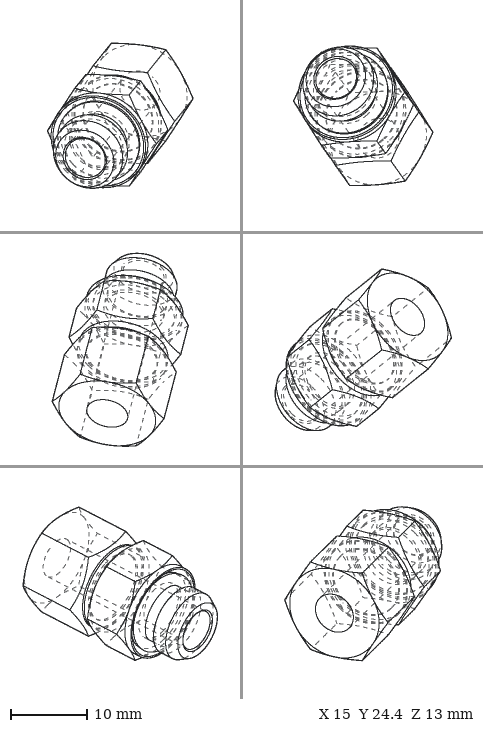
import cadquery as cq
import math

length = 24.4
tip_chamfer_end = 1.45
stud_shoulder = 3.56
neck_start = 4.05
collar_face = 6.0
body_hex_start = 7.03
body_hex_end = 13.52
flange_end = 14.52
nut_start = 14.8

across_corners = 15.0
corner_radius = across_corners / 2
flat_radius = corner_radius * math.cos(math.radians(30))
hex_chamfer_slope = math.tan(math.radians(30))

stud_radius = 4.78
neck_radius = 4.0
flange_radius = 5.98

bore_radius = 2.75
bore_chamfer = 0.22

ring_section_radius = 0.78
ring_centre_radius = neck_radius + ring_section_radius
recess_mouth_radius = 6.25
recess_floor_radius = recess_mouth_radius - ring_section_radius


def revolve_about_y(profile):
    """Revolve a closed XY profile (radius, axial position) about the Y axis."""
    return profile.close().revolve(360, (0, 0, 0), (0, 1, 0))


def cylinder(radius, start, end):
    """Cylinder along the Y axis."""
    return cq.Workplane("XZ", origin=(0, start, 0)).circle(radius).extrude(start - end)


def chamfered_hexagon(start, end, start_radius, end_radius):
    """Hexagonal prism along Y with conical corners that begin at the given end-face radii."""
    start_run = (corner_radius - start_radius) * hex_chamfer_slope
    end_run = (corner_radius - end_radius) * hex_chamfer_slope
    prism = cq.Workplane("XZ", origin=(0, start, 0)).polygon(6, across_corners).extrude(start - end)
    envelope = revolve_about_y(
        cq.Workplane("XY")
        .moveTo(0, start)
        .lineTo(start_radius, start)
        .lineTo(corner_radius, start + start_run)
        .lineTo(corner_radius, end - end_run)
        .lineTo(end_radius, end)
        .lineTo(0, end)
    )
    return prism.intersect(envelope)


def stud():
    """Stud with a tapered tip and an undercut neck reaching the body hexagon."""
    return revolve_about_y(
        cq.Workplane("XY")
        .moveTo(0, 0)
        .lineTo(neck_radius, 0)
        .lineTo(stud_radius, tip_chamfer_end)
        .lineTo(stud_radius, stud_shoulder)
        .lineTo(neck_radius, neck_start)
        .lineTo(neck_radius, body_hex_start)
        .lineTo(0, body_hex_start)
    )


def ring_recess():
    """Tapered annular recess in the collar face, as deep as half the O-ring section."""
    floor = collar_face + ring_section_radius
    return revolve_about_y(
        cq.Workplane("XY")
        .moveTo(neck_radius, collar_face)
        .lineTo(recess_mouth_radius, collar_face)
        .lineTo(recess_floor_radius, floor)
        .lineTo(neck_radius, floor)
    )


def through_bore():
    """Bore through the whole fitting, chamfered at the stud tip."""
    return revolve_about_y(
        cq.Workplane("XY")
        .moveTo(0, 0)
        .lineTo(bore_radius + bore_chamfer, 0)
        .lineTo(bore_radius, bore_chamfer)
        .lineTo(bore_radius, length)
        .lineTo(0, length)
    )


def make_fitting():
    collar = cylinder(flat_radius, collar_face, body_hex_start).cut(ring_recess())
    body_hex = chamfered_hexagon(body_hex_start, body_hex_end, flat_radius, flange_radius)
    flange = cylinder(flange_radius, body_hex_end, flange_end)
    nut_neck = cylinder(stud_radius, flange_end, nut_start)
    nut_hex = chamfered_hexagon(nut_start, length, flange_radius, flat_radius)
    sections = stud().union(collar).union(body_hex).union(flange).union(nut_neck).union(nut_hex)
    return sections.cut(through_bore())


def make_o_ring():
    section = cq.Workplane("XY").center(ring_centre_radius, collar_face).circle(ring_section_radius)
    return section.revolve(360, (-ring_centre_radius, 0, 0), (-ring_centre_radius, 1, 0))


fitting = make_fitting()
o_ring = make_o_ring()

result = cq.Compound.makeCompound([fitting.val(), o_ring.val()])